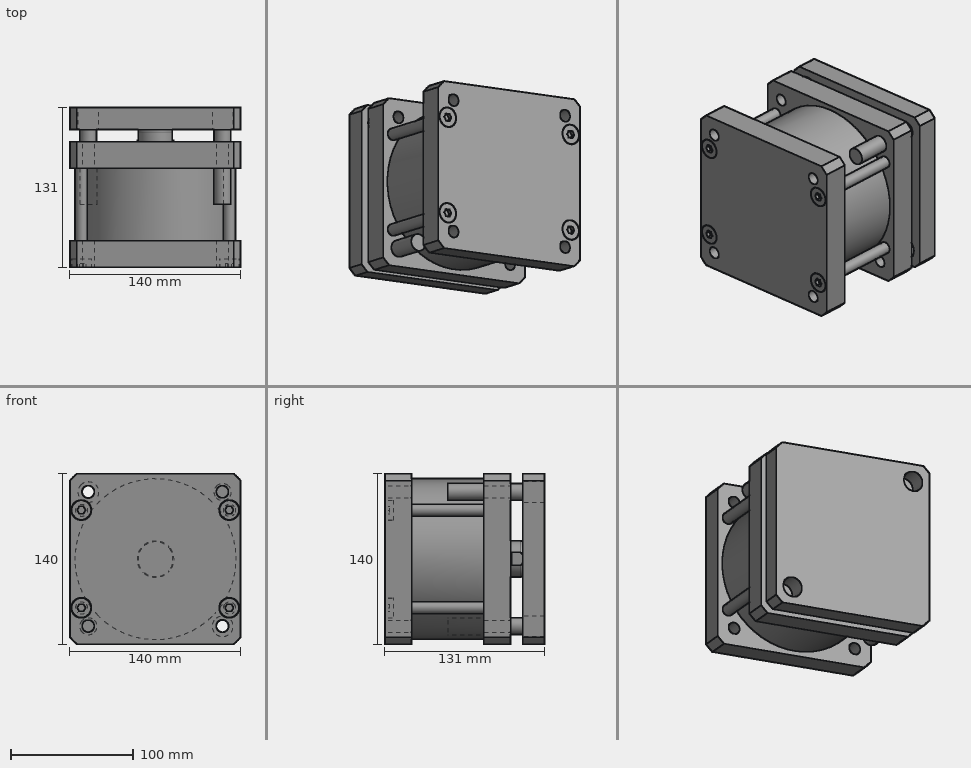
import cadquery as cq
import math


plate_side = 140.0
corner_turning_diameter = 190.0
cover_thickness = 22.0
bearing_thickness = 22.0
tool_plate_thickness = 18.0

total_depth = 131.0
rod_gap = 10.0

barrel_diameter = 132.0
tie_rod_diameter = 10.0
tie_rod_x = 60.6
tie_rod_z = 40.0

head_diameter = 16.0
head_recess_diameter = 16.5
head_depth = 7.0
socket_across_flats = 6.0
socket_across_corners = socket_across_flats / math.cos(math.pi / 6)
socket_depth = 3.5

corner_offset = 55.0
corner_hole_diameter = 10.0
access_hole_diameter = 17.0
guide_pin_diameter = 14.0
guide_pin_reach = 29.4

rod_diameter = 30.0
rod_across_flats = 28.0
rod_flat_start = 1.0
rod_chamfer_length = 1.8
rod_chamfer_depth = 0.5

cover_front = -total_depth / 2
cover_back = cover_front + cover_thickness
tool_plate_back = total_depth / 2
tool_plate_front = tool_plate_back - tool_plate_thickness
bearing_back = tool_plate_front - rod_gap
bearing_front = bearing_back - bearing_thickness

tie_rod_places = [(x, z) for x in (-tie_rod_x, tie_rod_x) for z in (-tie_rod_z, tie_rod_z)]
corner_places = [(x, z) for x in (-corner_offset, corner_offset) for z in (-corner_offset, corner_offset)]
pin_places = [(x, z) for x, z in corner_places if x == z]
bolt_places = [(x, z) for x, z in corner_places if x != z]


def section_plane(y):
    """Sketch plane across the piston axis: local axes are X and -Z, extrusion runs toward +Y."""
    return cq.Workplane(cq.Plane(origin=(0, y, 0), xDir=(1, 0, 0), normal=(0, 1, 0)))


def at_places(y, places):
    """Points (x, z) on the section plane; the plane's second axis runs toward -Z."""
    return section_plane(y).pushPoints([(x, -z) for x, z in places])


def cylinders(diameter, y_start, y_end, places):
    return at_places(y_start, places).circle(diameter / 2).extrude(y_end - y_start)


def plate(y_start, thickness):
    block = section_plane(y_start).rect(plate_side, plate_side).extrude(thickness)
    turned_round = section_plane(y_start).circle(corner_turning_diameter / 2).extrude(thickness)
    return block.intersect(turned_round)


def piston_rod():
    """Round rod with a tapered end and two wrench flats facing -X and +X."""
    radius = rod_diameter / 2
    taper_start = tool_plate_front - rod_chamfer_length
    profile = [
        (0, bearing_back),
        (radius, bearing_back),
        (radius, taper_start),
        (radius - rod_chamfer_depth, tool_plate_front),
        (0, tool_plate_front),
    ]
    rod = cq.Workplane("XY").polyline(profile).close().revolve(360, (0, 0, 0), (0, 1, 0))
    flat_zone = (
        section_plane(bearing_back + rod_flat_start)
        .rect(2 * rod_diameter, 2 * rod_diameter)
        .rect(rod_across_flats, 2 * rod_diameter)
        .extrude(rod_gap - rod_flat_start)
    )
    return rod.cut(flat_zone)


def head_rings():
    """Clearance gaps around the flush screw heads."""
    return (
        at_places(cover_front, tie_rod_places)
        .circle(head_recess_diameter / 2)
        .circle(head_diameter / 2)
        .extrude(head_depth)
    )


def head_sockets():
    return at_places(cover_front, tie_rod_places).polygon(6, socket_across_corners).extrude(socket_depth)


cover = plate(cover_front, cover_thickness)
cover = cover.cut(cylinders(corner_hole_diameter, cover_front, cover_back, corner_places))
cover = cover.cut(head_rings()).cut(head_sockets())

bearing = plate(bearing_front, bearing_thickness)
bearing = bearing.cut(cylinders(corner_hole_diameter, bearing_front, bearing_back, bolt_places))

tool_plate = plate(tool_plate_front, tool_plate_thickness)
tool_plate = tool_plate.cut(cylinders(access_hole_diameter, tool_plate_front, tool_plate_back, bolt_places))

barrel = cylinders(barrel_diameter, cover_back, bearing_front, [(0, 0)])
tie_rods = cylinders(tie_rod_diameter, cover_back, bearing_front, tie_rod_places)
guide_pins = cylinders(guide_pin_diameter, bearing_front - guide_pin_reach, tool_plate_front, pin_places)

result = cover.union(barrel).union(tie_rods).union(bearing).union(guide_pins)
result = result.union(piston_rod()).union(tool_plate)